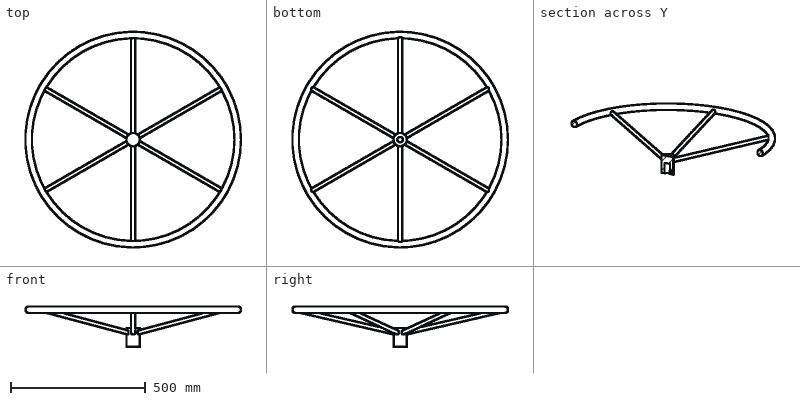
import cadquery as cq
import math

wheel_diameter = 800.0
overall_height = 150.0
rim_tube_diameter = 25.0
rim_radius = (wheel_diameter - rim_tube_diameter) / 2
rim_height = overall_height - rim_tube_diameter / 2

hub_diameter = 50.0
hub_height = 70.0
bore_diameter = 20.0
bore_depth = 40.0
set_screw_diameter = 6.0
set_screw_height = 10.0

spoke_count = 6
spoke_diameter = 16.0
first_spoke_angle = 90.0
spoke_root_height = 48.0


def make_rim():
    """Full ring of round tube, level with the top of the wheel."""
    centre = cq.Vector(0, 0, rim_height)
    return cq.Workplane(cq.Solid.makeTorus(rim_radius, rim_tube_diameter / 2, centre))


def make_hub():
    return cq.Workplane("XY").circle(hub_diameter / 2).extrude(hub_height)


def make_spoke(angle):
    """Round bar rising from the hub axis to the centre of the rim tube."""
    heading = math.radians(angle)
    root = cq.Vector(0, 0, spoke_root_height)
    tip = cq.Vector(rim_radius * math.cos(heading), rim_radius * math.sin(heading), rim_height)
    axis = tip - root
    return cq.Workplane(cq.Solid.makeCylinder(spoke_diameter / 2, axis.Length, root, axis))


def make_bore():
    """Blind shaft bore from the underside of the hub."""
    return cq.Workplane("XY").circle(bore_diameter / 2).extrude(bore_depth)


def make_set_screw_hole():
    """Radial hole from the -X side of the hub into the bore."""
    return (
        cq.Workplane("YZ")
        .center(0, set_screw_height)
        .circle(set_screw_diameter / 2)
        .extrude(-hub_diameter / 2)
    )


result = make_rim()
for index in range(spoke_count):
    spoke = make_spoke(first_spoke_angle + index * 360 / spoke_count)
    result = result.union(spoke, clean=False)
result = result.union(make_hub(), clean=False)
result = result.cut(make_bore(), clean=False)
result = result.cut(make_set_screw_hole(), clean=False)